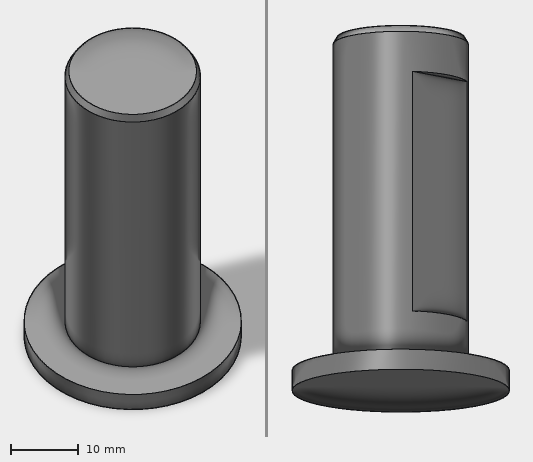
import cadquery as cq

total_height = 53.0
head_diameter = 32.0
head_thickness = 3.0
pin_diameter = 20.0
pin_radius = pin_diameter / 2

chamfer_height = 1.0
chamfer_inset = 0.6

flat_depth = 1.7
flat_bottom = 10.0
flat_top = 46.0


def make_turned_body():
    """Head and chamfered pin, centred on the Z axis."""
    return (
        cq.Workplane("XZ")
        .lineTo(head_diameter / 2, 0)
        .lineTo(head_diameter / 2, head_thickness)
        .lineTo(pin_radius, head_thickness)
        .lineTo(pin_radius, total_height - chamfer_height)
        .lineTo(pin_radius - chamfer_inset, total_height)
        .lineTo(0, total_height)
        .close()
        .revolve(360, (0, 0, 0), (0, 1, 0))
    )


def make_flat_cutter():
    """Block that removes a shallow chord from the +Y side."""
    return (
        cq.Workplane("XY")
        .box(pin_diameter, pin_radius, flat_top - flat_bottom, centered=(True, False, False))
        .translate((0, pin_radius - flat_depth, flat_bottom))
    )


result = make_turned_body().cut(make_flat_cutter())